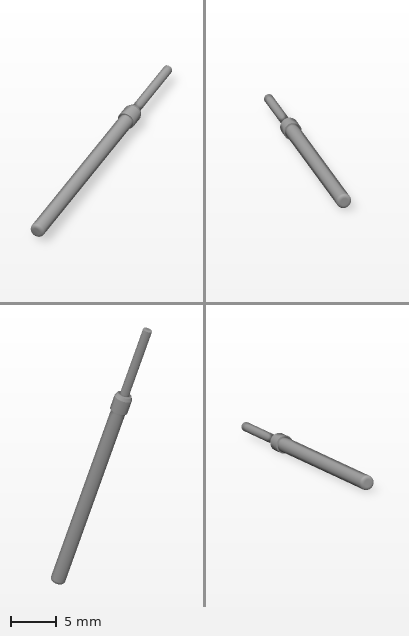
import cadquery as cq

total_length = 32.3
barrel_diameter = 1.65
barrel_length = 22.0
barrel_end_radius = 0.4
collar_diameter = 2.0
collar_length = 2.0
collar_bevel_length = 0.4
collar_nose_diameter = barrel_diameter
plunger_diameter = 1.03

barrel_start = -total_length / 2
collar_start = barrel_start + barrel_length
plunger_start = collar_start + collar_length
plunger_length = total_length - barrel_length - collar_length


def rod(diameter, start, length):
    """Cylinder on the Y axis running from start towards +Y."""
    plane = cq.Plane(origin=(0, start, 0), xDir=(1, 0, 0), normal=(0, 1, 0))
    return cq.Workplane(plane).circle(diameter / 2).extrude(length)


barrel = rod(barrel_diameter, barrel_start, barrel_length)
barrel = barrel.faces("<Y").edges().fillet(barrel_end_radius)

bevel_start = plunger_start - collar_bevel_length
collar = (
    cq.Workplane("XY")
    .moveTo(0, collar_start)
    .lineTo(collar_diameter / 2, collar_start)
    .lineTo(collar_diameter / 2, bevel_start)
    .lineTo(collar_nose_diameter / 2, plunger_start)
    .lineTo(0, plunger_start)
    .close()
    .revolve(360, (0, 0, 0), (0, 1, 0))
)

plunger = rod(plunger_diameter, plunger_start, plunger_length)

result = barrel.union(collar).union(plunger)